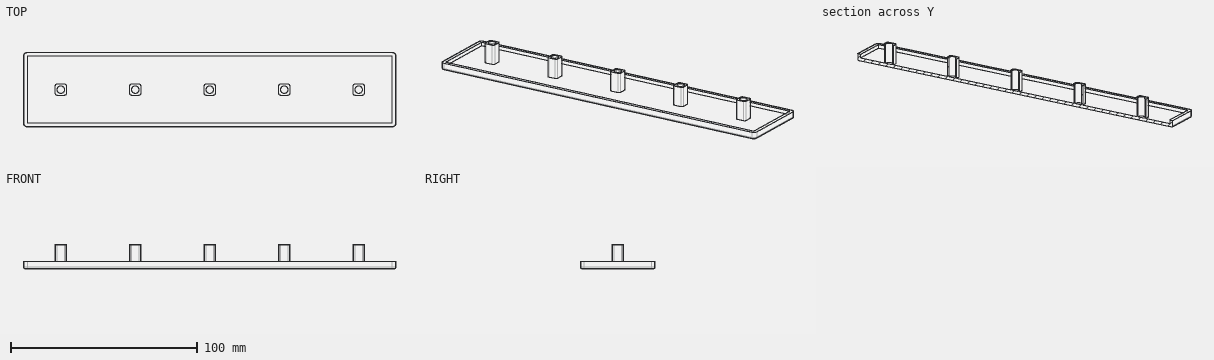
import cadquery as cq

length = 200.0
width = 40.0
tray_height = 4.0
wall = 2.0
floor_thickness = 2.0
corner_radius = 2.0
bottom_fillet = 1.0

total_height = 13.0
post_count = 5
post_pitch = length / post_count
post_side = 6.0
post_corner_radius = 1.0
bore_diameter = 4.0


def make_tray():
    """Shallow open tray with rounded outer corners and a rounded bottom edge."""
    body = cq.Workplane("XY").box(length, width, tray_height, centered=(True, True, False))
    body = body.edges("|Z").fillet(corner_radius)
    body = body.faces("<Z").edges().fillet(bottom_fillet)
    recess = (
        cq.Workplane("XY")
        .workplane(offset=floor_thickness)
        .rect(length - 2 * wall, width - 2 * wall)
        .extrude(tray_height - floor_thickness)
    )
    return body.cut(recess)


def make_posts():
    """Row of square posts along X, each bored down to the tray floor."""
    centers = [((i - (post_count - 1) / 2) * post_pitch, 0) for i in range(post_count)]
    posts = (
        cq.Workplane("XY")
        .pushPoints(centers)
        .rect(post_side, post_side)
        .extrude(total_height)
        .edges("|Z")
        .fillet(post_corner_radius)
    )
    bores = (
        cq.Workplane("XY")
        .workplane(offset=floor_thickness)
        .pushPoints(centers)
        .circle(bore_diameter / 2)
        .extrude(total_height - floor_thickness)
    )
    return posts.cut(bores)


result = make_tray().union(make_posts())